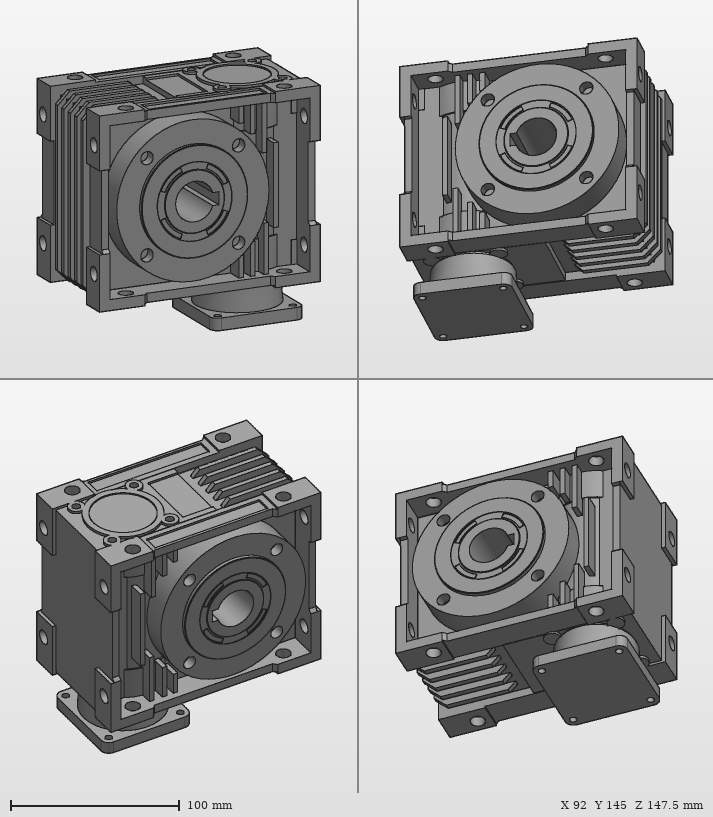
import cadquery as cq
import math


width = 92.0
pad_half = 42.8
body_half = 24.6
back_y, front_y = 84.1, -60.9
top_z, bottom_z = 60.0, -61.4
worm_y = 50.0

wall = 7.0
frame_half = 40.5
frame_back_y, frame_front_y = 81.7, -58.5
frame_top_z, frame_bottom_z = 58.7, -60.2
pad_gap_back_y, pad_gap_front_y = 54.7, -31.1
pad_gap_z = 26.0
relief_top_run = 0.6
pad_hole_d = 9.1
pad_hole_x = 34.8
pad_hole_z = 39.8
pad_hole_back_y, pad_hole_front_y = 64.2, -39.8
strip_x, strip_w = 33.6, 10.2
strip_y0, strip_y1 = -26.8, 51.0
pocket_depth = 1.3

embed_x = 14.8
plateau_top_z, plateau_bottom_z = 58.4, -59.6
low_top_z, low_bottom_z = 53.7, -54.6
low_front_y = -54.5
label_half, label_depth_y = 20.2, 20.8
fin_count, fin_w, fin_pitch = 5, 3.2, 8.7
fin_start_y, fin_front_y = -7.8, -60.3
fin_chamfer = 8.0

ring_r, ring_recess_r, ring_recess = 24.3, 20.2, 0.9
lug_r, lug_hole_d, lug_circle_r = 5.3, 5.2, 28.5
lug_first_angle, lug_hole_depth = 46.0, 5.9
cone_top_r, cone_bottom_r = 25.4, 27.1
flange_side, flange_t = 60.0, 7.8
flange_corner_r, flange_hole_d = 5.3, 4.4
total_height = 147.5
flange_bottom_z = top_z - total_height

worm_end_r, worm_mid_r = 28.5, 27.5
worm_mid_top_z, worm_mid_bottom_z = 33.2, -34.4
rib_half, rib_w = 36.0, 3.1
mid_rib_y, mid_rib_z = 58.1, 26.3
upper_ribs = [(50.6, 21.0), (42.9, 33.6), (35.4, 41.2)]
lower_ribs = [(51.8, -22.5), (42.9, -33.0), (35.4, -40.7)]
corner_pad_w, corner_pad_z, corner_pad_t = 3.5, 39.1, 0.3

cover_r, cover_half = 50.0, 43.4
cover_bolt_d, cover_bolt_offset, cover_bolt_depth = 8.1, 30.1, 7.4
hub_r, hub_chamfer = 35.0, 0.5
seal_r, shaft_r = 24.5, 19.8
seal_recess, seal_pocket = 0.5, 0.5
seal_pocket_r, seal_pocket_inner_r, seal_pocket_angle = 23.7, 20.8, 45.0
seal_pocket_first_angle = 45.0
shaft_chamfer = 0.5
bore_d = 25.1
key_w, key_top_y = 8.1, 16.0


def box(x0, x1, y0, y1, z0, z1):
    """Axis-aligned block between two opposite corners."""
    return cq.Workplane("XY").box(x1 - x0, y1 - y0, z1 - z0, centered=False).translate((x0, y0, z0))


def rod_x(radius, x0, x1, y=0.0, z=0.0):
    """Cylinder along X."""
    return cq.Workplane("YZ", origin=(x0, y, z)).circle(radius).extrude(x1 - x0)


def rod_y(radius, y0, y1, x, z):
    """Cylinder along Y."""
    return cq.Workplane("XZ", origin=(x, y0, z)).circle(radius).extrude(y0 - y1)


def rod_z(radius, z0, z1, x, y):
    """Cylinder along Z."""
    return cq.Workplane("XY", origin=(x, y, z0)).circle(radius).extrude(z1 - z0)


def both_sides(solid):
    """The solid together with its mirror image across the YZ plane."""
    return solid.union(solid.mirror("YZ"))


def centre_body():
    """Finned block between the side frames, full height only over the worm."""
    body = box(-body_half, body_half, 0, frame_back_y, plateau_bottom_z, plateau_top_z)
    body = body.union(box(-body_half, body_half, low_front_y, 0, low_bottom_z, low_top_z))
    label = box(-label_half, label_half, 0, label_depth_y, plateau_top_z - pocket_depth, plateau_top_z)
    return body.cut(label)


def fins():
    """Cooling fins wrapping the top, front and bottom of the low part of the body."""
    ramp_top = plateau_top_z - low_top_z
    ramp_bottom = low_bottom_z - plateau_bottom_z
    profile = [
        (fin_start_y, low_top_z),
        (fin_start_y - ramp_top, plateau_top_z),
        (fin_front_y + fin_chamfer, plateau_top_z),
        (fin_front_y, plateau_top_z - fin_chamfer),
        (fin_front_y, plateau_bottom_z + fin_chamfer),
        (fin_front_y + fin_chamfer, plateau_bottom_z),
        (fin_start_y - ramp_bottom, plateau_bottom_z),
        (fin_start_y, low_bottom_z),
    ]
    fin = cq.Workplane("YZ").polyline(profile).close().extrude(fin_w / 2, both=True)
    group = fin
    for i in range(1, fin_count // 2 + 1):
        group = group.union(fin.translate((i * fin_pitch, 0, 0)))
        group = group.union(fin.translate((-i * fin_pitch, 0, 0)))
    return group


def side_frame():
    """Rectangular frame on the +X side with four raised corner pads."""
    frame = box(body_half, pad_half, front_y, back_y, bottom_z, top_z)
    gap_y = pad_gap_front_y, pad_gap_back_y
    for z0, z1 in [(frame_top_z, top_z), (bottom_z, frame_bottom_z)]:
        frame = frame.cut(box(body_half, pad_half, *gap_y, z0, z1))
    for y0, y1 in [(frame_back_y, back_y), (front_y, frame_front_y)]:
        frame = frame.cut(box(body_half, pad_half, y0, y1, -pad_gap_z, pad_gap_z))
    step = pad_half - frame_half

    def face_relief(plane, low, high, high_run):
        """Trapezoidal cut across the outer face, its low end sloped at 45 degrees."""
        points = [(pad_half, low), (frame_half, low + step), (frame_half, high - high_run), (pad_half, high)]
        return cq.Workplane(plane).polyline(points).close().extrude(total_height, both=True)

    frame = frame.cut(face_relief("XY", *gap_y, step))
    frame = frame.cut(face_relief("XZ", -pad_gap_z, pad_gap_z, relief_top_run))
    frame = frame.cut(box(
        body_half, pad_half, front_y + wall, back_y - wall, bottom_z + wall, top_z - wall))
    frame = frame.cut(box(
        strip_x - strip_w / 2, strip_x + strip_w / 2, strip_y0, strip_y1,
        frame_top_z - pocket_depth, frame_top_z))
    for y in (pad_hole_back_y, pad_hole_front_y):
        frame = frame.cut(rod_z(pad_hole_d / 2, bottom_z, top_z, pad_hole_x, y))
    for z in (pad_hole_z, -pad_hole_z):
        frame = frame.cut(rod_y(pad_hole_d / 2, front_y, back_y, pad_hole_x, z))
    return frame


def worm_housing():
    """Stepped cylinder around the worm axis, bulging into the side recesses."""
    wall_bottom, wall_top = bottom_z + wall, top_z - wall
    housing = rod_z(worm_mid_r, wall_bottom, wall_top, 0, worm_y)
    housing = housing.union(rod_z(worm_end_r, worm_mid_top_z, wall_top, 0, worm_y))
    return housing.union(rod_z(worm_end_r, wall_bottom, worm_mid_bottom_z, 0, worm_y))


def recess_ribs():
    """Upright ribs and thin corner pads on the floor of the +X recess."""
    wall_bottom, wall_top = bottom_z + wall, top_z - wall
    spans = [(mid_rib_y, -mid_rib_z, mid_rib_z)]
    spans += [(y, free_end, wall_top) for y, free_end in upper_ribs]
    spans += [(y, wall_bottom, free_end) for y, free_end in lower_ribs]
    ribs = cq.Workplane("XY")
    for y, z0, z1 in spans:
        ribs = ribs.union(box(embed_x, rib_half, y - rib_w / 2, y + rib_w / 2, z0, z1))
    pad_y1 = back_y - wall
    for z0, z1 in [(corner_pad_z, wall_top), (wall_bottom, -corner_pad_z)]:
        ribs = ribs.union(box(embed_x, body_half + corner_pad_t, pad_y1 - corner_pad_w, pad_y1, z0, z1))
    return ribs


def lug_centres():
    """Centres of the four lugs around the worm axis."""
    angles = [math.radians(lug_first_angle + 90 * i) for i in range(4)]
    return [(lug_circle_r * math.cos(a), worm_y + lug_circle_r * math.sin(a)) for a in angles]


def bearing_ring(z0, z1):
    """Raised ring with four lugs around the worm axis."""
    ring = rod_z(ring_r, z0, z1, 0, worm_y)
    for x, y in lug_centres():
        ring = ring.union(rod_z(lug_r, z0, z1, x, y))
    return ring


def cut_top_ring(solid):
    """Recess inside the top ring and the four screw holes in its lugs."""
    solid = solid.cut(rod_z(ring_recess_r, top_z - ring_recess, top_z, 0, worm_y))
    for x, y in lug_centres():
        solid = solid.cut(rod_z(lug_hole_d / 2, top_z - lug_hole_depth, top_z, x, y))
    return solid


def input_flange():
    """Tapered neck and rounded square flange below the worm."""
    flange_top_z = flange_bottom_z + flange_t
    neck = (
        cq.Workplane("XY", origin=(0, worm_y, flange_top_z)).circle(cone_bottom_r)
        .workplane(offset=bottom_z - flange_top_z).circle(cone_top_r).loft()
    )
    hole_pitch = flange_side - 2 * flange_corner_r
    plate = (
        cq.Workplane("XY", origin=(0, worm_y, flange_bottom_z)).rect(flange_side, flange_side)
        .extrude(flange_t).edges("|Z").fillet(flange_corner_r)
        .faces(">Z").workplane(origin=(0, worm_y, 0)).rect(hole_pitch, hole_pitch, forConstruction=True)
        .vertices().hole(flange_hole_d)
    )
    return neck.union(plate)


def output_cover():
    """Round output cover, hub and seal on the +X side."""
    hub_face = width / 2
    cover = rod_x(cover_r, embed_x, cover_half)
    for y in (-cover_bolt_offset, cover_bolt_offset):
        for z in (-cover_bolt_offset, cover_bolt_offset):
            cover = cover.cut(rod_x(cover_bolt_d / 2, cover_half - cover_bolt_depth, cover_half, y, z))
    hub = rod_x(hub_r, embed_x, hub_face).faces(">X").edges().chamfer(hub_chamfer)
    cover = cover.union(hub)
    seal_face = hub_face - seal_recess
    cover = cover.cut(rod_x(seal_r, seal_face, hub_face))
    reach = 2 * seal_r
    spread = reach * math.tan(math.radians(seal_pocket_angle / 2))
    wedge = (
        cq.Workplane("YZ", origin=(seal_face - seal_pocket, 0, 0))
        .polyline([(0, 0), (reach, -spread), (reach, spread)]).close().extrude(seal_pocket)
    )
    band = rod_x(seal_pocket_r, seal_face - seal_pocket, seal_face)
    band = band.cut(rod_x(seal_pocket_inner_r, seal_face - seal_pocket, seal_face))
    for i in range(4):
        turned_wedge = wedge.rotate((0, 0, 0), (1, 0, 0), seal_pocket_first_angle + 90 * i)
        cover = cover.cut(band.intersect(turned_wedge))
    shaft = rod_x(shaft_r, embed_x, hub_face).faces(">X").edges().chamfer(shaft_chamfer)
    return cover.union(shaft)


def shaft_bore():
    """Through bore of the hollow shaft with its keyway on the worm side."""
    half = width / 2
    return rod_x(bore_d / 2, -half, half).union(box(-half, half, 0, key_top_y, -key_w / 2, key_w / 2))


result = centre_body().union(fins())
result = result.union(worm_housing())
result = result.union(both_sides(side_frame()))
result = result.union(both_sides(recess_ribs()))
result = result.union(bearing_ring(low_top_z, top_z))
result = result.union(bearing_ring(bottom_z, low_bottom_z))
result = cut_top_ring(result)
result = result.union(input_flange())
result = result.union(both_sides(output_cover()))
result = result.cut(shaft_bore())